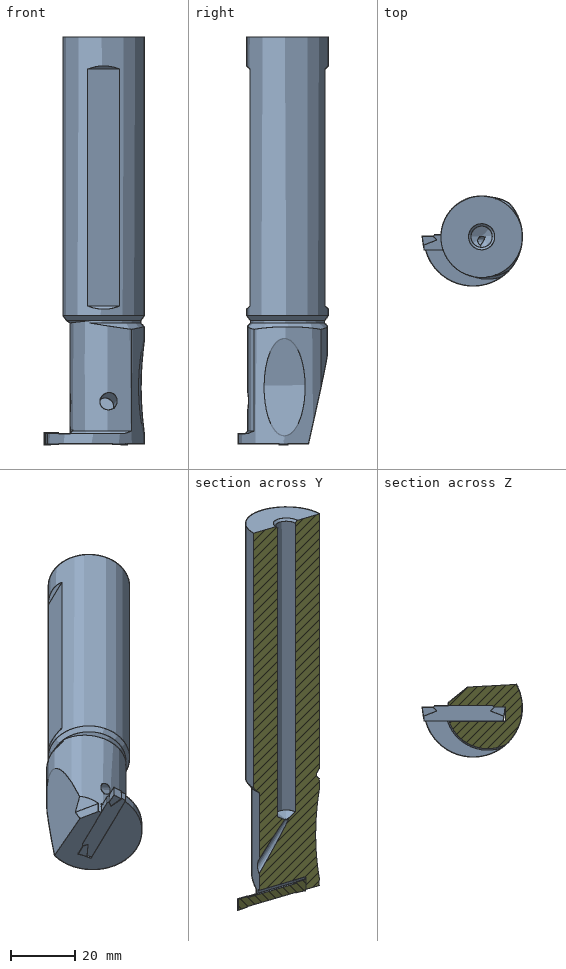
import cadquery as cq
import math

length = 127.0
shank_radius = 12.7
shank_bottom = 40.3
flat_distance = 11.7
flat_bottom = 43.3
flat_top = 117.0

groove_radius = 11.5
groove_top = 38.7
groove_bottom = 38.0
neck_root_radius = 10.4

head_diameter = 24.8
head_radius = head_diameter / 2
head_offset = 1.9
disc_radius = 15.4
disc_offset = shank_radius - disc_radius
disc_bottom = 0.4
disc_top = 3.5
root_chamfer = 0.83

slant_origin_y = 5.8
slant_per_x = 0.055
slant_per_z = 0.23

jaw_nose = (-10.3, 1.7)
gullet_angle = 39.0
gullet_wall_height = 4.5
gullet_reach = 10.2

scallop_radius = 82.5
scallop_depth = 1.4
scallop_height = 18.0
scallop_angle = -3.7

bore_radius = 3.3
bore_chamfer = 0.8
bore_bottom = 28.0
drill_tip_height = 1.9
coolant_radius = 1.7
coolant_start = (0.6, -1.7, 26.8)
coolant_outlet = (-10.4, -0.83, 13.1)
side_hole_diameter = 5.2
side_hole_mouth = (1.5, -12.1, 13.6)
side_hole_depth = 5.7
side_hole_descent = 15.0
side_hole_swing = 10.0

tip_x = -18.5
tip_lower_x = -18.2
neck_tip_x = -17.9
rear_x = 7.4
rake_y = 0.19
seat_y = -4.2
neck_top_y = 0.6
head_back_length = 4.6
rake_length = 3.4
rise_length = 0.5
head_low_y = -2.7
head_back_y = -1.0
insert_width = 4.0
head_relief = 0.3
slot_top = 4.7

overlap = 6.4


def cylinder(x, radius, bottom, top):
    """Vertical cylinder whose axis passes through (x, 0)."""
    return cq.Workplane("XY", origin=(x, 0, bottom)).circle(radius).extrude(top - bottom)


def drilled(start, direction, radius, depth):
    """Round cutting tool that starts at a point and runs along a direction."""
    return cq.Workplane(obj=cq.Solid.makeCylinder(radius, depth, cq.Vector(*start), cq.Vector(*direction)))


def make_shank():
    """Cylinder with two opposite clamping flats that run out at 45 degrees."""
    shank = cylinder(0, shank_radius, shank_bottom, length)
    runout = shank_radius + overlap - flat_distance
    flat = (
        cq.Workplane("YZ", origin=(-shank_radius, 0, 0))
        .moveTo(flat_distance, flat_bottom)
        .lineTo(flat_distance, flat_top)
        .lineTo(flat_distance + runout, flat_top + runout)
        .lineTo(flat_distance + runout, flat_bottom - runout)
        .close()
        .extrude(2 * shank_radius)
    )
    return shank.cut(flat).cut(flat.mirror("XZ"))


def make_head():
    """Offset cylinder trimmed to the disc circle, with the relief groove turned at its top."""
    head = cylinder(head_offset, head_radius, disc_bottom, shank_bottom)
    root = cq.Workplane(
        obj=cq.Solid.makeCone(
            head_radius + root_chamfer, head_radius, root_chamfer, cq.Vector(head_offset, 0, disc_top)
        )
    )
    head = head.union(root.intersect(make_front_half()))
    head = head.intersect(cylinder(disc_offset, disc_radius, disc_bottom, shank_bottom))
    cone_drop = shank_bottom - disc_bottom
    turned = (
        cq.Workplane("XZ")
        .moveTo(0, disc_bottom)
        .lineTo(0, shank_bottom)
        .lineTo(shank_radius, shank_bottom)
        .lineTo(groove_radius, groove_top)
        .lineTo(groove_radius, groove_bottom)
        .lineTo(groove_radius + cone_drop, groove_bottom - cone_drop)
        .lineTo(groove_radius + cone_drop, disc_bottom)
        .close()
        .revolve(360, (0, 0, 0), (0, 1, 0))
    )
    return head.intersect(turned)


def make_neck():
    """Taper below the shank that forms the upper wall of the relief groove."""
    return (
        cq.Workplane("XZ")
        .moveTo(0, groove_bottom)
        .lineTo(neck_root_radius, groove_bottom)
        .lineTo(groove_radius, groove_top)
        .lineTo(shank_radius, shank_bottom)
        .lineTo(0, shank_bottom)
        .close()
        .revolve(360, (0, 0, 0), (0, 1, 0))
    )


def make_front_half():
    """Block that covers everything on the -Y side."""
    span = 4 * disc_radius
    return cq.Workplane("XY").box(span, span, length, centered=(True, False, False)).translate((0, -span, 0))


def make_disc():
    """Half disc on the -Y side that carries the insert."""
    return cylinder(disc_offset, disc_radius, disc_bottom, disc_top).intersect(make_front_half())


def make_slant():
    """Block beyond the slanted relief plane."""
    plane = cq.Plane((0, slant_origin_y, 0), (1, slant_per_x, 0), (-slant_per_x, 1, -slant_per_z))
    return cq.Workplane(plane).rect(length, 4 * shank_bottom).extrude(shank_radius)


def make_gullet():
    """Wedge with a vertical wall along the jaw and a roof rising outward at 45 degrees."""
    angle = math.radians(gullet_angle)
    outward = (-math.sin(angle), math.cos(angle), 0)
    along = (math.cos(angle), math.sin(angle), 0)
    plane = cq.Plane((*jaw_nose, 0), outward, along)
    return (
        cq.Workplane(plane)
        .lineTo(gullet_reach, 0)
        .lineTo(gullet_reach, gullet_wall_height + gullet_reach)
        .lineTo(0, gullet_wall_height)
        .close()
        .extrude(2 * gullet_reach)
    )


def make_scallop():
    """Large horizontal cylinder that grazes the +X side."""
    angle = math.radians(scallop_angle)
    reach = disc_radius - scallop_depth + scallop_radius
    half_length = 2 * disc_radius
    along = (-math.sin(angle), math.cos(angle), 0)
    start = (
        disc_offset + reach * math.cos(angle) - half_length * along[0],
        reach * math.sin(angle) - half_length * along[1],
        scallop_height,
    )
    return drilled(start, along, scallop_radius, 2 * half_length)


def make_bore():
    """Coolant bore from the top with a chamfered mouth and a conical bottom."""
    return (
        cq.Workplane("XZ")
        .moveTo(0, bore_bottom - drill_tip_height)
        .lineTo(bore_radius, bore_bottom)
        .lineTo(bore_radius, length - bore_chamfer)
        .lineTo(bore_radius + bore_chamfer, length)
        .lineTo(0, length)
        .close()
        .revolve(360, (0, 0, 0), (0, 1, 0))
    )


def make_coolant_hole():
    """Steep hole from the bottom of the bore to the side of the head above the insert."""
    run = cq.Vector(*coolant_outlet) - cq.Vector(*coolant_start)
    return drilled(coolant_start, run.toTuple(), coolant_radius, run.Length + overlap)


def make_side_hole():
    """Blind flat-bottomed hole that descends slightly from the -Y side."""
    swing = math.radians(side_hole_swing)
    inward = cq.Vector(-math.tan(swing), 1, -math.tan(math.radians(side_hole_descent))).normalized()
    start = cq.Vector(*side_hole_mouth) - inward * overlap
    return drilled(start.toTuple(), inward.toTuple(), side_hole_diameter / 2, overlap + side_hole_depth)


def make_insert_outline(end_slope):
    """Outline with a raised middle, whose ends slope inward by end_slope toward the seat."""
    return [
        (tip_x, rake_y),
        (tip_x + rake_length, rake_y),
        (tip_x + rake_length + rise_length, neck_top_y),
        (rear_x - rake_length - rise_length, neck_top_y),
        (rear_x - rake_length, rake_y),
        (rear_x, rake_y),
        (rear_x - end_slope, seat_y),
        (tip_x + end_slope, seat_y),
    ]


def make_head_outline():
    """Outline of the wide cutting head at the tip end."""
    return [
        (tip_x, rake_y),
        (tip_x + rake_length, rake_y),
        (tip_x + head_back_length, head_back_y),
        (tip_lower_x, head_low_y),
    ]


def make_insert():
    """Double-ended grooving insert: a narrow neck with a wide cutting head at each end."""
    neck = (
        cq.Workplane("XY", origin=(0, 0, disc_bottom))
        .polyline(make_insert_outline(neck_tip_x - tip_x))
        .close()
        .extrude(disc_top - disc_bottom)
    )
    relief = (
        cq.Workplane("XZ", origin=(tip_x, overlap, 0))
        .lineTo(head_back_length, head_relief)
        .lineTo(head_back_length, 0)
        .close()
        .extrude(2 * overlap)
    )
    tip_head = cq.Workplane("XY").polyline(make_head_outline()).close().extrude(insert_width).cut(relief)
    middle_x = (tip_x + rear_x) / 2
    rear_head = tip_head.mirror("YZ", (middle_x, 0, 0))
    return neck.union(tip_head).union(rear_head)


def make_insert_slot():
    """Slot for the insert with square ends, open at the bottom."""
    return cq.Workplane("XY").polyline(make_insert_outline(0)).close().extrude(slot_top)


def make_holder():
    """Tool holder: shank, head and disc with the relief cuts, coolant holes and insert slot."""
    head = make_head().union(make_disc())
    for cutter in (make_slant(), make_gullet(), make_scallop()):
        head = head.cut(cutter)
    holder = make_shank().union(make_neck()).union(head)
    for cutter in (make_bore(), make_coolant_hole(), make_side_hole(), make_insert_slot()):
        holder = holder.cut(cutter)
    return holder


holder = make_holder()
insert = make_insert()

result = cq.Compound.makeCompound([holder.val(), insert.val()])